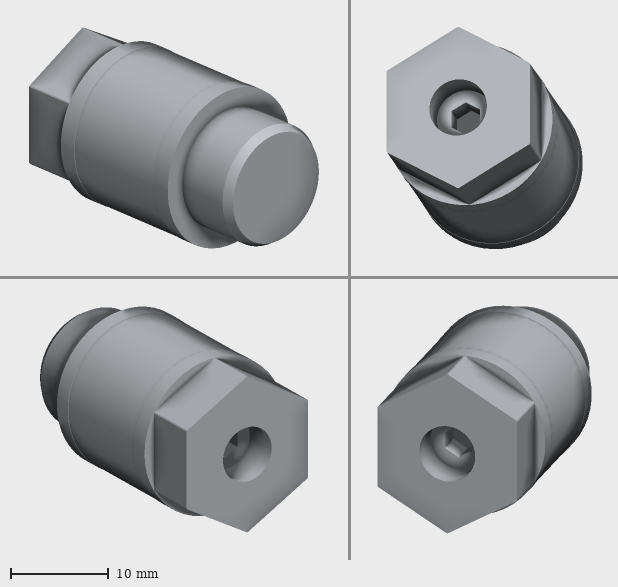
import cadquery as cq
import math

total_length = 29.0
hex_length = 6.0
collar_length = 2.0
sleeve_length = 12.0
spigot_length = total_length - hex_length - 2 * collar_length - sleeve_length

collar_diameter = 17.3
sleeve_diameter = 17.2
hex_across_flats = 15.0
hex_corner_diameter = 17.23
spigot_diameter = 13.17
chamfer_length = 1.0
chamfer_height = chamfer_length * math.tan(math.radians(30))

bore_diameter = 6.0
bore_depth = 4.0
socket_across_flats = 3.0
socket_depth = 3.0


def cylinder(start, length, diameter):
    """Cylinder along +X, beginning at X = start."""
    return cq.Workplane("YZ").workplane(offset=start).circle(diameter / 2).extrude(length)


def hexagon(start, length, across_flats):
    """Hexagonal prism along +X with corners on the Z axis."""
    corner_diameter = across_flats / math.cos(math.radians(30))
    return (
        cq.Workplane("YZ")
        .workplane(offset=start)
        .transformed(rotate=(0, 0, 90))
        .polygon(6, corner_diameter)
        .extrude(length)
    )


head = hexagon(0, hex_length, hex_across_flats)
head = head.intersect(cylinder(0, hex_length, hex_corner_diameter))

sleeve_start = hex_length + collar_length
rear_collar_start = sleeve_start + sleeve_length
front_collar = cylinder(hex_length, collar_length, collar_diameter)
sleeve = cylinder(sleeve_start, sleeve_length, sleeve_diameter)
rear_collar = cylinder(rear_collar_start, collar_length, collar_diameter)

spigot_start = rear_collar_start + collar_length
spigot = cylinder(spigot_start, spigot_length, spigot_diameter)
spigot = spigot.faces(">X").edges().chamfer(chamfer_length, chamfer_height)

body = head.union(front_collar).union(sleeve).union(rear_collar).union(spigot)

bore = cylinder(0, bore_depth, bore_diameter)
socket = hexagon(bore_depth, socket_depth, socket_across_flats)
result = body.cut(bore).cut(socket)